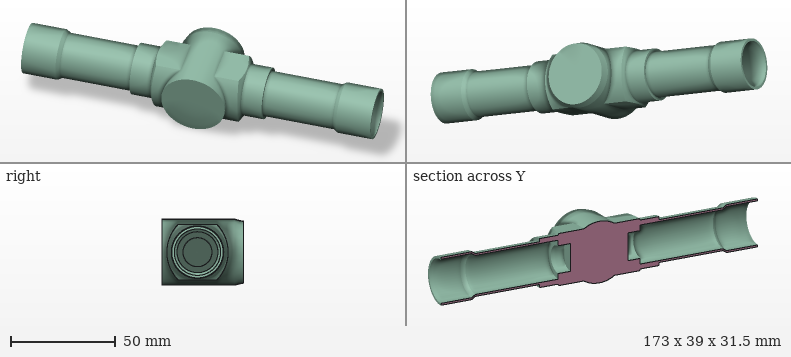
import cadquery as cq
import math

length = 173.0
half_length = length / 2

pipe_od = 22.0
pipe_bore = 19.5
socket_od = 24.5
socket_bore = 22.1
socket_length = 17.0
flare_length = 2.0

collar_od = 25.0
collar_half_length = 32.7
body_half_length = 22.5
body_height = 26.6
body_width = 29.2
flat_width = 18.3
end_chamfer_rise = 5.2
end_chamfer_angle = 60.0
end_chamfer_length = end_chamfer_rise / math.tan(math.radians(end_chamfer_angle))

hub_od = 31.5
hub_front = 17.0
hub_length = 39.0
hub_taper_length = 4.2
hub_taper_od = 29.5

port_diameter = 13.8
port_floor = hub_od / 2


def revolve_about_x(profile):
    return cq.Workplane("XY").polyline(profile).close().revolve(360, (0, 0, 0), (1, 0, 0))


def mirrored_profile(right_half):
    """Close a stepped (x, radius) half profile symmetrically about X = 0."""
    left_half = [(-x, radius) for x, radius in reversed(right_half)]
    return left_half + right_half


socket_start = half_length - socket_length
flare_start = socket_start - flare_length


def make_run():
    """Collars, pipes and sockets as one solid of revolution."""
    return revolve_about_x(mirrored_profile([
        (collar_half_length, collar_od / 2),
        (collar_half_length, pipe_od / 2),
        (flare_start, pipe_od / 2),
        (socket_start, socket_od / 2),
        (half_length, socket_od / 2),
        (half_length, 0),
    ]))


def make_body():
    """Bar with flat top and bottom and bulged sides, trimmed by a cone at each end."""
    flat_y = flat_width / 2
    side_y = body_width / 2
    flat_z = body_height / 2
    bar = (
        cq.Workplane("YZ")
        .workplane(offset=-body_half_length)
        .moveTo(-flat_y, flat_z)
        .lineTo(flat_y, flat_z)
        .threePointArc((side_y, 0), (flat_y, -flat_z))
        .lineTo(-flat_y, -flat_z)
        .threePointArc((-side_y, 0), (-flat_y, flat_z))
        .close()
        .extrude(2 * body_half_length)
    )
    trim = revolve_about_x(mirrored_profile([
        (body_half_length - end_chamfer_length, collar_od / 2 + end_chamfer_rise),
        (body_half_length, collar_od / 2),
        (body_half_length, 0),
    ]))
    return bar.intersect(trim)


def make_hub():
    hub_back = hub_length - hub_front
    return (
        cq.Workplane("XY")
        .polyline([
            (0, -hub_front),
            (hub_od / 2, -hub_front),
            (hub_od / 2, hub_back - hub_taper_length),
            (hub_taper_od / 2, hub_back),
            (0, hub_back),
        ])
        .close()
        .revolve(360, (0, 0, 0), (0, 1, 0))
    )


def make_bore():
    """Stepped blind bore of the +X pipe."""
    return revolve_about_x([
        (port_floor, 0),
        (port_floor, port_diameter / 2),
        (body_half_length, port_diameter / 2),
        (body_half_length, pipe_bore / 2),
        (flare_start, pipe_bore / 2),
        (socket_start, socket_bore / 2),
        (half_length, socket_bore / 2),
        (half_length, 0),
    ])


bore = make_bore()
result = make_run().union(make_body()).union(make_hub())
result = result.cut(bore).cut(bore.mirror("YZ"))